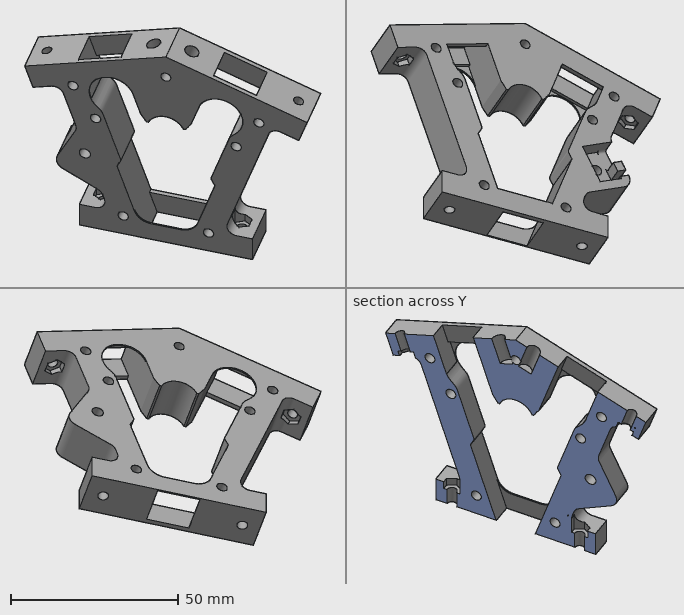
import cadquery as cq
import math

DEPTH = 14.0
HEIGHT = 73.15
HALF_SPAN = 88.37 / 2
TILT = math.atan(1 / 3)
ROOF_LENGTH = HALF_SPAN / math.cos(TILT)
BEAM = 8.2
FOOT_HALF_WIDTH = 27.1
OUTER_FILLET = 3.0

DUCT_WIDTH = 14.1
DUCT_DEPTH = 11.0
FRONT_SKIN = 0.5
LEG_OUTER = 37.55
LEG_INNER = LEG_OUTER - BEAM
LEDGE = 2.0
LEDGE_BOTTOM_Z = 26.2
LEDGE_FILLET = 1.0

ARCH_RADIUS = DUCT_WIDTH / 2
ARCH_ALONG = LEG_INNER - ARCH_RADIUS
ARCH_BELOW = 13.2
CHAMBER_END = 14.0
RAMP_ANGLE = math.radians(45)
RAMP_FILLET = 5.0
OPENING_BOTTOM_Z = 6.15
OPENING_FILLET = 5.5
REAR_ROOF = 7.2
REAR_BOTTOM_Z = 7.2

LOBE_ARC_RADIUS = 6.0
LOBE_ARC_CENTRE_Z = 43.5
LOBE_TIP_Z = 46.0
LOBE_TIP_X = 6.1
LOBE_SHOULDER_Z = 48.7

ARM_SLOPE = math.atan(0.5)
ARM_ROOT_Z = 37.9
ARM_LENGTH = 17.1
ARM_TIP_FILLET = 3.5
SWITCH_POCKET_Y = 2.15
SWITCH_LENGTH = 13.0
SWITCH_LIP = 3.0
SWITCH_POCKET_END = 10.7
SWITCH_TOP = 1.1
WIDE_SLOT = 7.1
SLOT_RIB = 3.2
NARROW_SLOT = 1.9
SLOT_CORNER = 0.85

ROOF_SCREW_DIAMETER = 4.4
ROOF_SCREW_ALONG = 6.3
ROOF_SCREW_DEPTH = 9.0
ROOF_PIN_DIAMETER = 3.1
ROOF_PIN_ALONG = 41.5
CROSS_HOLE_DIAMETER = 3.2
CROSS_HOLES = [(29.08, 54.5), (22.0, 43.35), (13.35, 7.05)]
APEX_HOLE_DIAMETER = 3.1
APEX_HOLE_Z = 65.2
SWITCH_HOLE_DIAMETER = 3.5
SWITCH_HOLE = (-25.35, 28.7)
FOOT_HOLE_DIAMETER = 3.2
FOOT_HOLE_X = 21.65
NUT_ACROSS_CORNERS = 6.2
NUT_FLOOR_Z = 5.6
NUT_TOP_Z = 11.2
ROOF_NUT_RECESS = 1.6

NARROW_TOP = SWITCH_TOP + WIDE_SLOT + SLOT_RIB
SWITCH_BOTTOM = SWITCH_TOP + SWITCH_LENGTH


def roof_point(along, below):
    """Point on the right half: distance down the roof slope and square below it."""
    x = along * math.cos(TILT) - below * math.sin(TILT)
    z = HEIGHT - along * math.sin(TILT) - below * math.cos(TILT)
    return x, z


def leg_point(along, z):
    """Point at height z on the right-hand leg face that lies `along` the roof."""
    below = (HEIGHT - z - along * math.sin(TILT)) / math.cos(TILT)
    return roof_point(along, below)


def mirrored(point):
    return -point[0], point[1]


def arm_point(along, inward):
    """Point in the switch arm: distance down its face from the root, and inward."""
    root_x, root_z = mirrored(leg_point(LEG_OUTER, ARM_ROOT_Z))
    x = root_x - along * math.sin(ARM_SLOPE) + inward * math.cos(ARM_SLOPE)
    z = root_z - along * math.cos(ARM_SLOPE) - inward * math.sin(ARM_SLOPE)
    return x, z


def rounded_wire(corners):
    """Closed XZ outline from (point, fillet radius) pairs."""
    pieces = []
    for index, (point, radius) in enumerate(corners):
        here = cq.Vector(*point)
        back = (cq.Vector(*corners[index - 1][0]) - here).normalized()
        ahead = (cq.Vector(*corners[(index + 1) % len(corners)][0]) - here).normalized()
        half_angle = back.getAngle(ahead) / 2
        setback = radius / math.tan(half_angle)
        to_centre = (back + ahead).normalized()
        middle = here + to_centre * (radius / math.sin(half_angle) - radius)
        pieces.append((here + back * setback, middle, here + ahead * setback, radius))
    outline = cq.Workplane("XZ").moveTo(pieces[0][2].x, pieces[0][2].y)
    for start, middle, end, radius in pieces[1:] + pieces[:1]:
        outline = outline.lineTo(start.x, start.y)
        if radius:
            outline = outline.threePointArc((middle.x, middle.y), (end.x, end.y))
    return outline.close()


def prism(corners, rear_y, front_y):
    """Rounded outline extruded from rear_y forward to front_y."""
    return rounded_wire(corners).extrude(rear_y - front_y).translate((0, rear_y, 0))


def sharp(points):
    return [(point, 0) for point in points]


def cylinder_y(point, radius):
    """Cylinder along Y through the whole thickness."""
    x, z = point
    return cq.Workplane("XZ").center(x, z).circle(radius).extrude(DEPTH / 2, both=True)


def both_sides(shape):
    return shape.union(shape.mirror("YZ"))


def make_frame():
    foot_inner = leg_point(LEG_OUTER, BEAM)
    eave_inner = roof_point(LEG_OUTER, BEAM)
    eave = [roof_point(ROOF_LENGTH, BEAM), roof_point(ROOF_LENGTH, 0)]
    foot = [(FOOT_HALF_WIDTH, 0), (FOOT_HALF_WIDTH, BEAM)]

    tip_x, tip_z = arm_point(ARM_LENGTH, 0)
    leg_x, leg_z = mirrored(leg_point(LEG_OUTER, tip_z))
    run = (leg_x - tip_x) / (1 - math.tan(ARM_SLOPE) * math.tan(TILT))
    arm_heel = (tip_x + run, tip_z - run * math.tan(ARM_SLOPE))

    corners = sharp(foot)
    corners += [(foot_inner, OUTER_FILLET), (eave_inner, OUTER_FILLET)]
    corners += sharp(eave) + sharp([(0, HEIGHT)])
    corners += sharp([mirrored(point) for point in reversed(eave)])
    corners += [
        (mirrored(eave_inner), OUTER_FILLET),
        (arm_point(0, 0), OUTER_FILLET),
        ((tip_x, tip_z), ARM_TIP_FILLET),
        (arm_heel, OUTER_FILLET),
        (mirrored(foot_inner), OUTER_FILLET),
    ]
    corners += sharp([mirrored(point) for point in reversed(foot)])
    return prism(corners, DEPTH / 2, -DEPTH / 2)


def make_opening():
    upper_inner = LEG_INNER - LEDGE
    ledge_bottom = leg_point(LEG_INNER, LEDGE_BOTTOM_Z)
    ledge_below = (HEIGHT - LEDGE_BOTTOM_Z - LEG_INNER * math.sin(TILT)) / math.cos(TILT)
    ledge_top = roof_point(upper_inner, ledge_below - LEDGE)

    arch_centre = roof_point(ARCH_ALONG, ARCH_BELOW)
    ramp_start = (
        arch_centre[0] + ARCH_RADIUS * math.cos(RAMP_ANGLE),
        arch_centre[1] - ARCH_RADIUS * math.sin(RAMP_ANGLE),
    )
    leg_x, leg_z = leg_point(upper_inner, ramp_start[1])
    drop = (ramp_start[0] - leg_x) / (1 / math.tan(RAMP_ANGLE) - math.tan(TILT))
    ramp_end = leg_point(upper_inner, ramp_start[1] - drop)

    lobe_side = ARCH_ALONG - ARCH_RADIUS
    half = [
        (leg_point(LEG_INNER, OPENING_BOTTOM_Z), OPENING_FILLET),
        (ledge_bottom, 0),
        (ledge_top, LEDGE_FILLET),
        (ramp_end, RAMP_FILLET),
        (ramp_start, 0),
        (roof_point(lobe_side, ARCH_BELOW), 0),
        (leg_point(lobe_side, LOBE_SHOULDER_Z), 0),
        ((LOBE_TIP_X, LOBE_TIP_Z), 0),
    ]
    left_half = [(mirrored(point), radius) for point, radius in reversed(half)]
    opening = prism(half + left_half, DEPTH / 2, -DEPTH / 2)
    opening = opening.union(cylinder_y((0, LOBE_ARC_CENTRE_Z), LOBE_ARC_RADIUS))
    opening = opening.union(both_sides(cylinder_y(arch_centre, ARCH_RADIUS)))
    return opening.cut(make_rear_wall())


def make_rear_wall():
    """Strips of the wall behind the ducts that stay below the arches and at the foot."""
    wall_front = DUCT_DEPTH / 2
    roof_strip = prism(
        sharp([
            (0, HEIGHT),
            roof_point(ROOF_LENGTH, 0),
            roof_point(ROOF_LENGTH, REAR_ROOF),
            roof_point(0, REAR_ROOF),
        ]),
        DEPTH / 2,
        wall_front,
    )
    foot_strip = prism(
        sharp([
            (-FOOT_HALF_WIDTH, 0),
            (FOOT_HALF_WIDTH, 0),
            (FOOT_HALF_WIDTH, REAR_BOTTOM_Z),
            (-FOOT_HALF_WIDTH, REAR_BOTTOM_Z),
        ]),
        DEPTH / 2,
        wall_front,
    )
    return both_sides(roof_strip).union(foot_strip)


def roof_block(top, bottom, rear_y, front_y):
    """Pair of duct-wide blocks square to the roof arms, between two depths below the roof."""
    duct_start = LEG_INNER - DUCT_WIDTH
    block = prism(
        sharp([
            roof_point(duct_start, top),
            roof_point(LEG_INNER, top),
            roof_point(LEG_INNER, bottom),
            roof_point(duct_start, bottom),
        ]),
        rear_y,
        front_y,
    )
    return both_sides(block)


def foot_block(bottom_z, rear_y, front_y):
    """Block between the lower legs, from bottom_z up past the rounded opening corners."""
    top_z = OPENING_BOTTOM_Z + OPENING_FILLET
    right = [leg_point(LEG_INNER, bottom_z), leg_point(LEG_INNER, top_z)]
    left = [mirrored(point) for point in reversed(right)]
    return prism(sharp(right + left), rear_y, front_y)


def make_ducts():
    """Windows through the roof arms and the foot, with square chambers behind the front skin."""
    half_duct = DUCT_DEPTH / 2
    rear = DEPTH / 2
    chamber_front = FRONT_SKIN - DEPTH / 2
    arch_top = ARCH_BELOW - ARCH_RADIUS

    ducts = roof_block(0, ARCH_BELOW, half_duct, -half_duct)
    ducts = ducts.union(roof_block(arch_top, CHAMBER_END, half_duct, chamber_front))
    ducts = ducts.union(roof_block(REAR_ROOF, CHAMBER_END, rear, chamber_front))
    ducts = ducts.union(foot_block(0, half_duct, chamber_front))
    return ducts.union(foot_block(REAR_BOTTOM_Z, rear, chamber_front))


def make_arm_slot(top, width):
    """Slot through the lip of the arm, with its front corners rounded."""
    slot = prism(
        sharp([
            arm_point(top, -SWITCH_LIP),
            arm_point(top + width, -SWITCH_LIP),
            arm_point(top + width, SWITCH_LIP),
            arm_point(top, SWITCH_LIP),
        ]),
        DEPTH / 2,
        SWITCH_POCKET_Y,
    )
    inward = cq.Vector(math.cos(ARM_SLOPE), 0, -math.sin(ARM_SLOPE))
    corner_edges = slot.faces("<Y").edges(cq.selectors.ParallelDirSelector(inward))
    return slot.newObject(corner_edges.vals()).fillet(SLOT_CORNER)


def make_switch_pocket():
    body = prism(
        sharp([
            arm_point(SWITCH_TOP, SWITCH_LIP),
            arm_point(SWITCH_BOTTOM, SWITCH_LIP),
            arm_point(SWITCH_BOTTOM, SWITCH_POCKET_END),
            arm_point(SWITCH_TOP, SWITCH_POCKET_END),
        ]),
        DEPTH / 2,
        SWITCH_POCKET_Y,
    )
    body = body.union(make_arm_slot(SWITCH_TOP, WIDE_SLOT))
    return body.union(make_arm_slot(NARROW_TOP, NARROW_SLOT))


def roof_plane(along, below):
    """Plane inside the right-hand roof arm, facing squarely into the roof."""
    x, z = roof_point(along, below)
    inward = (-math.sin(TILT), 0, -math.cos(TILT))
    return cq.Plane(origin=(x, 0, z), xDir=(0, 1, 0), normal=inward)


def make_roof_holes():
    """Blind screw hole near the apex, and a through hole with a nut seat at the eave."""
    screw = cq.Workplane(roof_plane(ROOF_SCREW_ALONG, 0))
    screw = screw.circle(ROOF_SCREW_DIAMETER / 2).extrude(ROOF_SCREW_DEPTH)
    pin = cq.Workplane(roof_plane(ROOF_PIN_ALONG, 0))
    pin = pin.circle(ROOF_PIN_DIAMETER / 2).extrude(BEAM)
    nut = cq.Workplane(roof_plane(ROOF_PIN_ALONG, BEAM - ROOF_NUT_RECESS))
    nut = nut.polygon(6, NUT_ACROSS_CORNERS).extrude(ROOF_NUT_RECESS + OUTER_FILLET)
    return screw.union(pin).union(nut)


def make_foot_hole():
    """Vertical screw hole with a hexagonal nut seat in the right-hand foot."""
    hole = cq.Workplane("XY").center(FOOT_HOLE_X, 0).circle(FOOT_HOLE_DIAMETER / 2).extrude(BEAM)
    nut_plane = cq.Plane(origin=(FOOT_HOLE_X, 0, NUT_FLOOR_Z), xDir=(0, 1, 0), normal=(0, 0, 1))
    nut = cq.Workplane(nut_plane).polygon(6, NUT_ACROSS_CORNERS)
    return hole.union(nut.extrude(NUT_TOP_Z - NUT_FLOOR_Z))


def make_holes():
    holes = make_roof_holes().union(make_foot_hole())
    for position in CROSS_HOLES:
        holes = holes.union(cylinder_y(position, CROSS_HOLE_DIAMETER / 2))
    holes = both_sides(holes)
    holes = holes.union(cylinder_y((0, APEX_HOLE_Z), APEX_HOLE_DIAMETER / 2))
    return holes.union(cylinder_y(SWITCH_HOLE, SWITCH_HOLE_DIAMETER / 2))


result = (
    make_frame()
    .cut(make_opening())
    .cut(make_ducts())
    .cut(make_switch_pocket())
    .cut(make_holes())
)